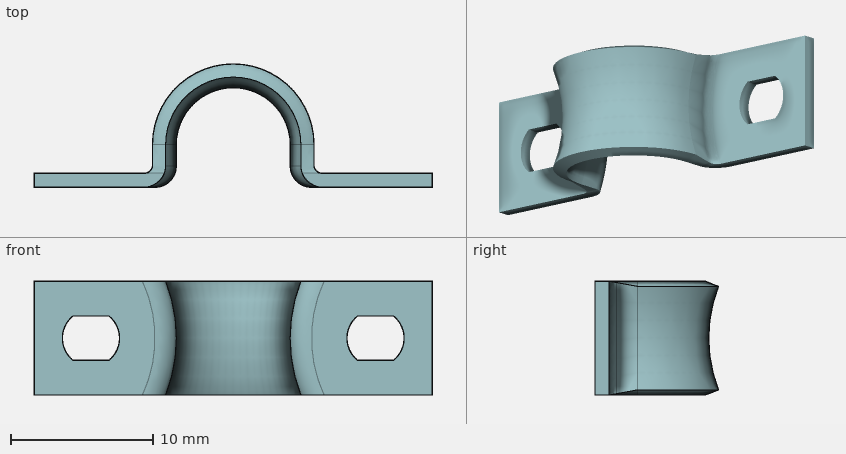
import cadquery as cq
import math

strap_length = 28.0
strap_width = 8.0
thickness = 1.0
saddle_centre_y = 3.0
throat_radius = 4.0
crown_radius = 11.0
bend_inner_radius = 0.5
hole_centre_x = 10.0
hole_diameter = 4.0
hole_height = 3.1

half_length = strap_length / 2
half_width = strap_width / 2
crown_centre_x = throat_radius + crown_radius
crown_back_radius = crown_radius - thickness
bend_outer_radius = bend_inner_radius + thickness
leg_back_x = throat_radius + thickness

rim_sin = half_width / crown_radius
rim_cos = math.sqrt(1 - rim_sin**2)
rim_inner_x = crown_centre_x - crown_radius * rim_cos
rim_outer_x = crown_centre_x - crown_back_radius * rim_cos
rim_outer_z = crown_back_radius * rim_sin


def make_saddle():
    """Half ring whose crowned section is revolved about the Z axis of the saddle."""
    return (
        cq.Workplane("XZ")
        .moveTo(rim_inner_x, -half_width)
        .threePointArc((throat_radius, 0), (rim_inner_x, half_width))
        .lineTo(rim_outer_x, rim_outer_z)
        .threePointArc((leg_back_x, 0), (rim_outer_x, -rim_outer_z))
        .close()
        .revolve(180, (0, 0, 0), (0, 1, 0))
        .translate((0, saddle_centre_y, 0))
    )


def make_leg():
    """Leg on the +X side, blending from flat ends at the foot to sloped ends at the saddle rim."""

    def section(y, back_half_width):
        outline = (
            cq.Workplane("XZ", origin=(0, y, 0))
            .moveTo(rim_inner_x, -half_width)
            .threePointArc((throat_radius, 0), (rim_inner_x, half_width))
            .lineTo(rim_outer_x, back_half_width)
            .threePointArc((leg_back_x, 0), (rim_outer_x, -back_half_width))
            .close()
        )
        return outline.val()

    foot_section = section(thickness, half_width)
    saddle_section = section(saddle_centre_y, rim_outer_z)
    return cq.Workplane(cq.Solid.makeLoft([foot_section, saddle_section], True))


def make_foot():
    """Flat foot on the +X side, ending in line with the inner face of the leg."""
    return (
        cq.Workplane("XZ")
        .moveTo(rim_inner_x, -half_width)
        .threePointArc((throat_radius, 0), (rim_inner_x, half_width))
        .lineTo(half_length, half_width)
        .lineTo(half_length, -half_width)
        .close()
        .extrude(-thickness)
    )


def round_bend(leg_and_foot):
    """Round the bend between leg and foot, the outside corner first and then the inside one."""
    outside_corner = cq.selectors.NearestToPointSelector((throat_radius, 0, 0))
    inside_corner = cq.selectors.NearestToPointSelector((leg_back_x, thickness, 0))
    rounded = leg_and_foot.edges(outside_corner).fillet(bend_outer_radius)
    return rounded.edges(inside_corner).fillet(bend_inner_radius)


def make_hole():
    """Round hole with flats on its +Z and -Z sides, running through the foot on the +X side."""
    round_hole = cq.Workplane("XZ").circle(hole_diameter / 2).extrude(-thickness)
    flats = cq.Workplane("XZ").rect(hole_diameter, hole_height).extrude(-thickness)
    return round_hole.intersect(flats).translate((hole_centre_x, 0, 0))


side = round_bend(make_foot().union(make_leg())).cut(make_hole())
result = make_saddle().union(side).union(side.mirror("YZ"))